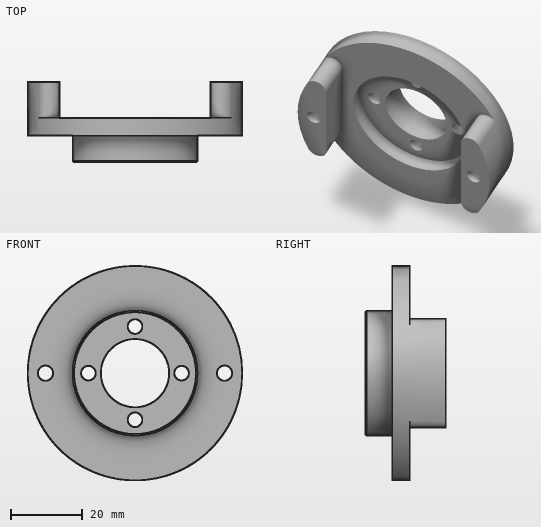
import cadquery as cq

flange_diameter = 60.0
flange_thickness = 5.0

boss_diameter = 35.0
boss_height = 7.5
boss_chamfer = 0.5

lug_height = 10.0
lug_inner_distance = 21.05
lug_end_radius = 3.0

bore_diameter = 19.0
boss_hole_diameter = 4.0
boss_hole_circle_radius = 13.0
lug_hole_diameter = 4.2
lug_hole_distance = 25.0

recess_diameter = boss_diameter
recess_depth = 4.0

back_y = flange_thickness + lug_height
total_depth = boss_height + back_y


def cylinder_along_y(diameter, start_y, length, centers=((0, 0),)):
    """Cylinders growing toward +Y from start_y, at the given (x, z) centers."""
    return (
        cq.Workplane("XZ", origin=(0, start_y, 0))
        .pushPoints(centers)
        .circle(diameter / 2)
        .extrude(-length)
    )


def make_lugs():
    """Opposite circle segments with a flat inner wall and rounded ends."""
    disc = cylinder_along_y(flange_diameter, 0, back_y)
    middle = cq.Workplane("XY").box(
        2 * lug_inner_distance, 2 * back_y, flange_diameter
    )
    reach = lug_inner_distance + lug_end_radius
    wall_edges = cq.selectors.BoxSelector(
        (-reach, 0, -flange_diameter),
        (reach, back_y, flange_diameter),
    )
    return disc.cut(middle).edges("|Y").edges(wall_edges).fillet(lug_end_radius)


def make_boss():
    boss = cylinder_along_y(boss_diameter, -boss_height, boss_height)
    return boss.faces("<Y").chamfer(boss_chamfer)


def make_hole(diameter, centers=((0, 0),)):
    return cylinder_along_y(diameter, -boss_height, total_depth, centers)


flange = cylinder_along_y(flange_diameter, 0, flange_thickness)
body = flange.union(make_lugs()).union(make_boss())

recess = cylinder_along_y(recess_diameter, flange_thickness - recess_depth, recess_depth)

boss_hole_centers = [
    (boss_hole_circle_radius, 0),
    (-boss_hole_circle_radius, 0),
    (0, boss_hole_circle_radius),
    (0, -boss_hole_circle_radius),
]
lug_hole_centers = [(lug_hole_distance, 0), (-lug_hole_distance, 0)]

result = (
    body.cut(recess)
    .cut(make_hole(bore_diameter))
    .cut(make_hole(boss_hole_diameter, boss_hole_centers))
    .cut(make_hole(lug_hole_diameter, lug_hole_centers))
)